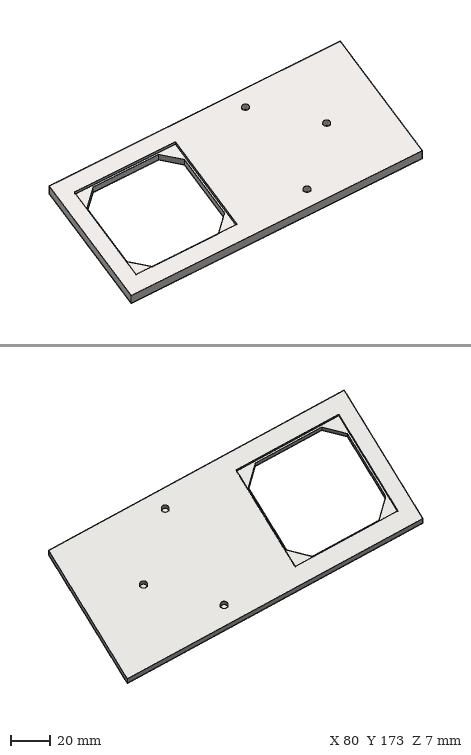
import cadquery as cq

plate_width = 80.0
plate_length = 173.0
plate_thickness = 7.0

window_from_front_edge = 39.0
recess_side = 60.0
recess_depth = 2.0
ledge_width = 1.0
opening_side = recess_side - 2 * ledge_width
opening_corner_cut = 9.5

hole_diameter = 4.0
hole_depth = 5.0
hole_circle_radius = 30.0
hole_circle_from_front_edge = 110.5

front_edge_y = -plate_length / 2
window_y = front_edge_y + window_from_front_edge
hole_circle_y = front_edge_y + hole_circle_from_front_edge


def make_plate():
    return cq.Workplane("XY").box(
        plate_width, plate_length, plate_thickness, centered=(True, True, False)
    )


def make_window_cutter():
    opening = (
        cq.Workplane("XY")
        .center(0, window_y)
        .rect(opening_side, opening_side)
        .extrude(plate_thickness)
        .edges("|Z")
        .chamfer(opening_corner_cut)
    )
    recess = (
        cq.Workplane("XY", origin=(0, window_y, plate_thickness))
        .rect(recess_side, recess_side)
        .extrude(-recess_depth)
    )
    return opening.union(recess)


def make_hole_cutters():
    hole_centers = [
        (-hole_circle_radius, 0),
        (0, hole_circle_radius),
        (hole_circle_radius, 0),
    ]
    return (
        cq.Workplane("XY", origin=(0, hole_circle_y, plate_thickness))
        .pushPoints(hole_centers)
        .circle(hole_diameter / 2)
        .extrude(-hole_depth)
    )


result = make_plate().cut(make_window_cutter()).cut(make_hole_cutters())